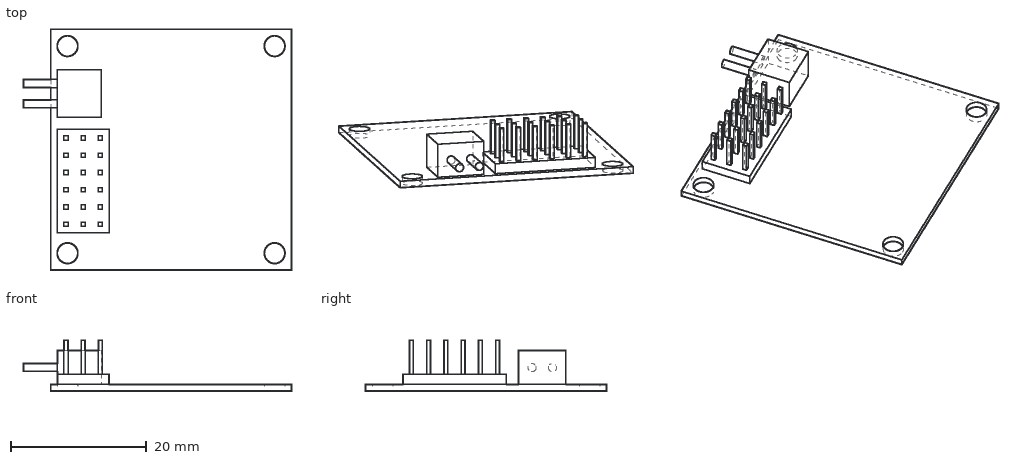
import cadquery as cq

board_side = 35.5
board_thickness = 1.0
hole_diameter = 3.0
hole_spacing = 30.5

pitch = 2.54
header_columns = 3
header_rows = 6
header_width = header_columns * pitch
header_length = header_rows * pitch
header_height = 1.5
pin_side = 0.6
pin_length = 5.0
header_edge_gap = 1.0
header_front_gap = 5.5

connector_width = 6.5
connector_length = 7.0
connector_height = 5.0
connector_back_gap = 6.0
wire_diameter = 1.2
wire_length = 5.0
wire_spacing = 3.0

board_edge = board_side / 2
component_left = -board_edge + header_edge_gap
header_x = component_left + header_width / 2
header_y = -board_edge + header_front_gap + header_length / 2
header_top = board_thickness + header_height
connector_x = component_left + connector_width / 2
connector_y = board_edge - connector_back_gap - connector_length / 2
wire_z = board_thickness + connector_height / 2


def box_on(x, y, z, width, length, height):
    """Box centred on (x, y) and standing on height z."""
    return cq.Workplane("XY", origin=(x, y, z)).box(width, length, height, centered=(True, True, False))


def make_board():
    """Square board with a mounting hole at each corner."""
    return (
        box_on(0, 0, 0, board_side, board_side, board_thickness)
        .faces(">Z")
        .workplane()
        .rect(hole_spacing, hole_spacing, forConstruction=True)
        .vertices()
        .hole(hole_diameter)
    )


def make_header():
    """Header base with its grid of upright square pins."""
    base = box_on(header_x, header_y, board_thickness, header_width, header_length, header_height)
    pins = (
        cq.Workplane("XY", origin=(header_x, header_y, header_top))
        .rarray(pitch, pitch, header_columns, header_rows)
        .rect(pin_side, pin_side)
        .extrude(pin_length)
    )
    return base.union(pins)


def make_connector():
    """Connector block with two wires leaving its -X face."""
    block = box_on(
        connector_x, connector_y, board_thickness, connector_width, connector_length, connector_height
    )
    wires = (
        cq.Workplane("YZ", origin=(component_left, connector_y, wire_z))
        .pushPoints([(-wire_spacing / 2, 0), (wire_spacing / 2, 0)])
        .circle(wire_diameter / 2)
        .extrude(-wire_length)
    )
    return block.union(wires)


result = make_board().union(make_header()).union(make_connector())